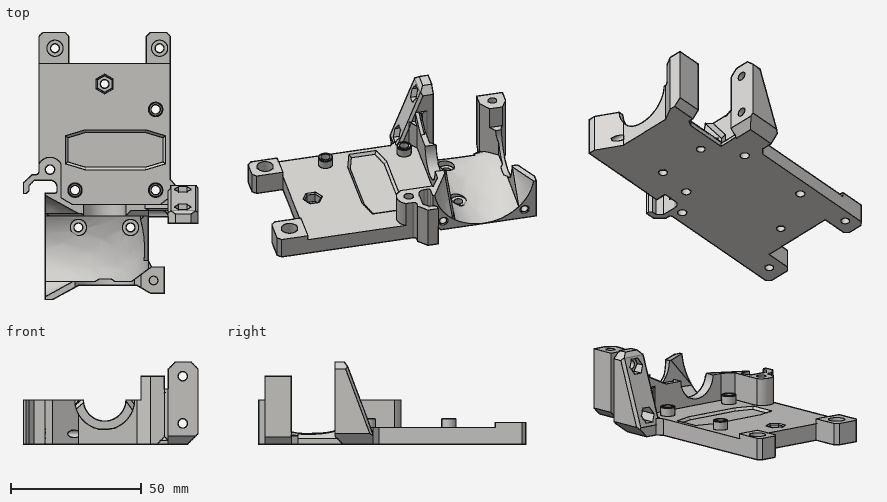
import cadquery as cq
import math

PLATE_TOP = 6.5
TAB_TOP = 8.4
BODY_TOP = 17.0
POST_TOP = 26.0
BRACKET_TOP = 31.5

OVERCUT = 1.0
PICK_REACH = 0.1

PLATE_WIDTH = 50.25
PLATE_LENGTH = 54.0
TAB_END = 65.8
LEFT_TAB_RIGHT = 11.5
RIGHT_TAB_LEFT = 41.0
TAB_CHAMFER = 1.5
TAB_HOLE_Y = 59.75
TAB_HOLES_X = (6.15, 46.1)

SCREW_DIAMETER = 3.3
CLEARANCE_DIAMETER = 3.5
HEAD_DIAMETER = 6.2
TAB_SEAT_Z = 3.0
NUT_HOLE_DIAMETER = 3.2
NUT_FLATS = 5.5

NUT_SEAT_X = PLATE_WIDTH / 2
NUT_SEAT_Y = 46.1
NUT_SEAT_DEPTH = 4.0
NUT_LEAD_IN = 0.5

STANDOFF_DIAMETER = 5.5
STANDOFF_TOP = 9.9
STANDOFF_CHAMFER = 0.3
STANDOFF_PLACES = ((13.8, 5.55), (44.6, 5.55), (44.6, 36.4))

RELIEF_CENTER = (29.25, 20.95)
RELIEF_LENGTH = 38.3
RELIEF_WIDTH = 15.3
RELIEF_FLAT_LENGTH = 23.1
RELIEF_END_WIDTH = 10.7
RELIEF_DEPTH = 1.0
RELIEF_TAPER = 45

PEDESTAL_CENTER = (4.25, 13.4)
PEDESTAL_RADIUS = 4.7
PEDESTAL_RIGHT = 8.4
PEDESTAL_TOE_X = 12.9
PEDESTAL_TOE_Y = 2.7
HOOK_LEFT = -5.95
HOOK_TOP = 11.5
HOOK_ROOT_FILLET = 1.2
HOOK_TIP_Y = 4.2
HOOK_INNER_LEFT = -3.7
HOOK_SHOULDER_X = -2.6
HOOK_SHOULDER_Y = 8.3
HOOK_TIP_X = -4.9
HOOK_TIP_BEVEL_Y = 5.3
HOOK_INNER_SHOULDER_Y = 7.3
HOOK_INNER_SHOULDER_X = -1.8
HOOK_GAP_RIGHT = 6.9
HOOK_GAP_TOP = 9.3
HOOK_GAP_LARGE_FILLET = 2.6
HOOK_GAP_SMALL_FILLET = 0.9

DUCT_LEFT = 2.4
DUCT_RIGHT = 41.8
DUCT_BACK = 4.4
DUCT_FRONT = -36.3
FRONT_WALL_OUTER = -30.8
FRONT_WALL_INNER = -29.4
REAR_WALL_INNER = -4.4
FLOOR_EDGE_Z = 2.3
FLOOR_END_Y = -21.3
REAR_CORNER_BEVEL = (3.2, 4.0)
POST_RIGHT = 47.9
POST_LEFT = 39.0
POST_FRONT = -33.9
POST_BACK = -23.75
POST_BEVEL = 2.8
POST_HOLE = (43.8, -28.95)
POST_HOLE_DEPTH = 10.0
INLET_TOE_X = 5.2
FRONT_WALL_LEFT = 15.2
FRONT_WALL_RIGHT = 37.4
POST_SHOULDER_X = 42.7
POST_INNER_X = 43.0
CHAMBER_CORNER_X = 35.3
FLOOR_BEVEL_SIZE = 3.0

INLET_CENTER_Y = -15.8
INLET_RADIUS = 19.6
INLET_FLOOR_Z = 0.2
MIDDLE_X = 20.0
MIDDLE_CENTER_Y = -16.3
MIDDLE_RADIUS = 27.0
MIDDLE_FLOOR_Z = 2.8
OUTLET_CENTER_Y = -17.0
OUTLET_RADIUS = 60.0
OUTLET_FLOOR_Z = 3.2
REAR_FLARE_END = 17.0
FRONT_FLARE_END = 12.9
FLARE_TIP_SCALE = 0.02
FLARE_LOW = (4.4, 4.6)
FLARE_BEVEL_SHIFT = 1.2
FLARE_BEVEL = 2.0
FLARE_BEVEL_DEPTH = 1.0

BORE_X = PLATE_WIDTH / 2
REAR_BORE_RADIUS = 8.1
FRONT_BORE_RADIUS = 11.4

FLOOR_SCREW_Y = -8.7
FLOOR_SCREWS_X = (15.1, 35.0)
FLOOR_SEAT_Z = 2.5
INLET_SCREW_Z = 4.0
INLET_SCREWS_Y = (0.25, -31.7)
INLET_SCREW_DEPTH = 12.8
INLET_SCREW_DIAMETER = 2.8
INLET_SCREW_CHAMFER = 0.4

ARM_START = 33.0
ARM_RISE_START = 40.5
RECESS_LOW = (41.8, 4.2)
RECESS_BEVEL = 2.2
ARM_EDGE_CHAMFER = 0.8
ARM_FACE = -2.2
ARM_TOP = 21.2
RAIL_FRONT = -4.7
RAIL_TOP = 1.5
BRACKET_LEFT = 49.4
BRACKET_RIGHT = 60.85
BRACKET_FRONT = -7.15
BRACKET_BACK = 7.4
BRACKET_TOP_CHAMFER = 2.8
BRACKET_SIDE_BEVEL = 4.1
BRACKET_TOE_BEVEL = 3.1
BRACKET_EDGE_CHAMFER = 1.1
BRACKET_HOLES_Z = (8.0, 26.0)
BRACKET_HOLE_X = 54.95
BRACKET_NUT_SEAT_Y = -4.0
SLANT_FOOT = (BRACKET_BACK, 4.0)
SLANT_HEAD = (-2.2, 29.6)
BRACKET_CREST_Y = -3.6

SIDE_GUSSET_Y = 9.6
SIDE_GUSSET_X = 52.2
INNER_GUSSET_X = 46.3
INNER_GUSSET_Y = 2.4


def prism(points, bottom, top):
    """Upright prism over a plan outline."""
    return cq.Workplane("XY").workplane(offset=bottom).polyline(points).close().extrude(top - bottom)


def box(x0, x1, y0, y1, z0, z1):
    return cq.Workplane("XY").box(x1 - x0, y1 - y0, z1 - z0, centered=False).translate((x0, y0, z0))


def rod(x, y, diameter, bottom, top):
    """Vertical cylinder."""
    return cq.Workplane("XY").workplane(offset=bottom).center(x, y).circle(diameter / 2).extrude(top - bottom)


def rod_along_y(x, z, radius, y0, y1):
    return cq.Workplane("XZ").workplane(offset=-y1).center(x, z).circle(radius).extrude(y1 - y0)


def base_plate():
    plate = box(0, PLATE_WIDTH, 0, PLATE_LENGTH, 0, PLATE_TOP)
    for left, right in ((0, LEFT_TAB_RIGHT), (RIGHT_TAB_LEFT, PLATE_WIDTH)):
        tab = box(left, right, PLATE_LENGTH, TAB_END, 0, TAB_TOP)
        plate = plate.union(tab.edges("|Z and >Y").chamfer(TAB_CHAMFER))
    for x in TAB_HOLES_X:
        plate = plate.cut(rod(x, TAB_HOLE_Y, SCREW_DIAMETER, 0, TAB_TOP))
        plate = plate.cut(rod(x, TAB_HOLE_Y, HEAD_DIAMETER, TAB_SEAT_Z, TAB_TOP))
    return plate


def nut_seat():
    corner_diameter = NUT_FLATS / math.cos(math.pi / 6)
    mouth_diameter = (NUT_FLATS + 2 * NUT_LEAD_IN) / math.cos(math.pi / 6)

    def hexagon(z, diameter):
        plane = cq.Workplane("XY").workplane(offset=z).center(NUT_SEAT_X, NUT_SEAT_Y)
        return plane.transformed(rotate=(0, 0, 30)).polygon(6, diameter)

    seat = hexagon(PLATE_TOP - NUT_SEAT_DEPTH, corner_diameter).extrude(NUT_SEAT_DEPTH)
    lead_in = (
        hexagon(PLATE_TOP - NUT_LEAD_IN, corner_diameter)
        .workplane(offset=NUT_LEAD_IN)
        .polygon(6, mouth_diameter)
        .loft()
    )
    hole = rod(NUT_SEAT_X, NUT_SEAT_Y, NUT_HOLE_DIAMETER, 0, PLATE_TOP)
    return seat.union(lead_in).union(hole)


def relief():
    half_length = RELIEF_LENGTH / 2
    half_width = RELIEF_WIDTH / 2
    half_flat = RELIEF_FLAT_LENGTH / 2
    half_end = RELIEF_END_WIDTH / 2
    outline = [
        (half_length, -half_end), (half_length, half_end),
        (half_flat, half_width), (-half_flat, half_width),
        (-half_length, half_end), (-half_length, -half_end),
        (-half_flat, -half_width), (half_flat, -half_width),
    ]
    plane = cq.Workplane("XY").workplane(offset=PLATE_TOP).center(*RELIEF_CENTER)
    return plane.polyline(outline).close().extrude(-RELIEF_DEPTH, taper=RELIEF_TAPER)


def standoff(x, y):
    tube = rod(x, y, STANDOFF_DIAMETER, PLATE_TOP, STANDOFF_TOP)
    return tube.faces(">Z").edges().chamfer(STANDOFF_CHAMFER)


def hook_gap_edge(y):
    """Selector for the upright inner edge of the hook gap at the given Y."""
    return cq.selectors.BoxSelector(
        (HOOK_GAP_RIGHT - PICK_REACH, y - PICK_REACH, 0),
        (HOOK_GAP_RIGHT + PICK_REACH, y + PICK_REACH, BODY_TOP),
    )


def pedestal_and_hook():
    """Screw pedestal over the plate edge with the cable hook on its left."""
    center_x, center_y = PEDESTAL_CENTER
    shoulder_y = center_y + math.sqrt(PEDESTAL_RADIUS**2 - (PEDESTAL_RIGHT - center_x) ** 2)
    left_y = center_y + math.sqrt(PEDESTAL_RADIUS**2 - center_x**2)
    return (
        cq.Workplane("XY")
        .moveTo(PEDESTAL_RIGHT, shoulder_y)
        .threePointArc((center_x, center_y + PEDESTAL_RADIUS), (0, left_y))
        .lineTo(0, HOOK_TOP + HOOK_ROOT_FILLET)
        .radiusArc((-HOOK_ROOT_FILLET, HOOK_TOP), HOOK_ROOT_FILLET)
        .lineTo(HOOK_SHOULDER_X, HOOK_TOP)
        .lineTo(HOOK_LEFT, HOOK_SHOULDER_Y)
        .lineTo(HOOK_LEFT, HOOK_TIP_Y)
        .lineTo(HOOK_TIP_X, HOOK_TIP_Y)
        .lineTo(HOOK_INNER_LEFT, HOOK_TIP_BEVEL_Y)
        .lineTo(HOOK_INNER_LEFT, HOOK_INNER_SHOULDER_Y)
        .lineTo(HOOK_INNER_SHOULDER_X, HOOK_GAP_TOP)
        .lineTo(HOOK_GAP_RIGHT, HOOK_GAP_TOP)
        .lineTo(HOOK_GAP_RIGHT, DUCT_BACK)
        .lineTo(DUCT_LEFT, DUCT_BACK)
        .lineTo(DUCT_LEFT, 0)
        .lineTo(PEDESTAL_TOE_X, 0)
        .lineTo(PEDESTAL_RIGHT, PEDESTAL_TOE_Y)
        .close()
        .extrude(BODY_TOP)
        .edges(hook_gap_edge(HOOK_GAP_TOP))
        .fillet(HOOK_GAP_LARGE_FILLET)
        .edges(hook_gap_edge(DUCT_BACK))
        .fillet(HOOK_GAP_SMALL_FILLET)
    )


def notch_behind_hook():
    """Clearance in the plate inside the hook, and the bevel below the duct corner."""
    gap = box(-OVERCUT, HOOK_GAP_RIGHT, DUCT_BACK, HOOK_GAP_TOP, 0, PLATE_TOP)
    gap = gap.edges("|Z and >X and >Y").fillet(HOOK_GAP_LARGE_FILLET)
    gap = gap.edges("|Z and >X and <Y").fillet(HOOK_GAP_SMALL_FILLET)
    run, rise = REAR_CORNER_BEVEL
    bevel = (
        cq.Workplane("YZ")
        .workplane(offset=DUCT_LEFT)
        .polyline([(DUCT_BACK, 0), (DUCT_BACK - run, 0), (DUCT_BACK, rise)])
        .close()
        .extrude(HOOK_GAP_RIGHT - DUCT_LEFT)
    )
    edge = box(-OVERCUT, DUCT_LEFT, -OVERCUT, DUCT_BACK, 0, PLATE_TOP)
    return gap.union(bevel).union(edge)


def duct_block():
    outline = [
        (DUCT_LEFT, 0), (DUCT_LEFT, DUCT_FRONT), (INLET_TOE_X, DUCT_FRONT),
        (FRONT_WALL_LEFT, FRONT_WALL_OUTER), (FRONT_WALL_RIGHT, FRONT_WALL_OUTER),
        (POST_SHOULDER_X, POST_FRONT), (POST_RIGHT, POST_FRONT), (POST_RIGHT, POST_BACK),
        (POST_INNER_X, POST_BACK), (DUCT_RIGHT, FLOOR_END_Y), (DUCT_RIGHT, 0),
    ]
    block = prism(outline, 0, BODY_TOP)
    post_space = box(POST_LEFT, POST_RIGHT, POST_FRONT, POST_BACK, 0, POST_TOP)
    return block.union(prism(outline, 0, POST_TOP).intersect(post_space))


def bowl():
    """Hollow lofted through three circles of growing radius, from the inlet to the far end."""
    sections = (
        (DUCT_LEFT, INLET_CENTER_Y, INLET_RADIUS, INLET_FLOOR_Z),
        (MIDDLE_X, MIDDLE_CENTER_Y, MIDDLE_RADIUS, MIDDLE_FLOOR_Z),
        (DUCT_RIGHT, OUTLET_CENTER_Y, OUTLET_RADIUS, OUTLET_FLOOR_Z),
    )
    wires = []
    for x, y, radius, floor in sections:
        wires.append(cq.Wire.makeCircle(radius, cq.Vector(x, y, floor + radius), cq.Vector(1, 0, 0)))
    return cq.Workplane(obj=cq.Solid.makeLoft(wires))


def flare(wall_y, side, tip_x):
    """Recess narrowing from the inlet rim beyond a chamber wall to a tip at the wall top.

    side is +1 for the rear wall and -1 for the front wall.
    """
    center_z = INLET_FLOOR_Z + INLET_RADIUS
    rim_y = INLET_CENTER_Y + side * math.sqrt(INLET_RADIUS**2 - (center_z - BODY_TOP) ** 2)
    low_z = center_z - math.sqrt(INLET_RADIUS**2 - (wall_y - INLET_CENTER_Y) ** 2)
    middle_angle = (
        math.atan2(BODY_TOP - center_z, abs(rim_y - INLET_CENTER_Y))
        + math.atan2(low_z - center_z, abs(wall_y - INLET_CENTER_Y))
    ) / 2
    middle = (
        INLET_CENTER_Y + side * INLET_RADIUS * math.cos(middle_angle),
        center_z + INLET_RADIUS * math.sin(middle_angle),
    )

    def section(x, scale):
        def toward_tip(y, z):
            return cq.Vector(x, wall_y + scale * (y - wall_y), BODY_TOP + scale * (z - BODY_TOP))

        corner = toward_tip(wall_y, BODY_TOP)
        rim = toward_tip(rim_y, BODY_TOP)
        low = toward_tip(wall_y, low_z)
        return cq.Wire.assembleEdges([
            cq.Edge.makeLine(corner, rim),
            cq.Edge.makeThreePointArc(rim, toward_tip(*middle), low),
            cq.Edge.makeLine(low, corner),
        ])

    near_tip = tip_x - FLARE_TIP_SCALE * (tip_x - DUCT_LEFT)
    wires = [section(DUCT_LEFT, 1), section(near_tip, FLARE_TIP_SCALE)]
    return cq.Workplane(obj=cq.Solid.makeLoft(wires, True))


def floor_edge_bevel():
    """Wedge that slopes the right-hand edge of the duct floor outward."""
    drop = FLOOR_BEVEL_SIZE
    outline = [
        (DUCT_RIGHT, FLOOR_EDGE_Z), (DUCT_RIGHT, FLOOR_EDGE_Z + drop),
        (DUCT_RIGHT - drop, FLOOR_EDGE_Z + drop),
    ]
    length = REAR_WALL_INNER - FLOOR_END_Y
    return cq.Workplane("XZ").workplane(offset=-REAR_WALL_INNER).polyline(outline).close().extrude(length)


def post_toe_bevel():
    """Wedge removed below the outer side of the post."""
    outline = [(POST_RIGHT - POST_BEVEL, 0), (POST_RIGHT, 0), (POST_RIGHT, POST_BEVEL)]
    length = POST_BACK - POST_FRONT
    return cq.Workplane("XZ").workplane(offset=-POST_BACK).polyline(outline).close().extrude(length)


def duct_hollow():
    beyond_outlet = box(DUCT_RIGHT, POST_RIGHT, POST_FRONT, 0, OUTLET_FLOOR_Z, POST_TOP)
    limits = [
        (DUCT_LEFT, REAR_WALL_INNER), (DUCT_LEFT, FRONT_WALL_INNER),
        (CHAMBER_CORNER_X, FRONT_WALL_INNER), (POST_INNER_X, POST_BACK),
        (POST_RIGHT, POST_BACK), (POST_RIGHT, REAR_WALL_INNER),
    ]
    hollow = bowl().union(beyond_outlet).intersect(prism(limits, 0, POST_TOP))
    hollow = hollow.union(floor_edge_bevel())
    hollow = hollow.union(flare(REAR_WALL_INNER, 1, REAR_FLARE_END))
    return hollow.union(flare(FRONT_WALL_INNER, -1, FRONT_FLARE_END))


def sloped_recess(top_x, low_point, bevel, depth):
    """Triangular step into the rear chamber wall with a bevelled slanting side.

    The slant runs from the wall top at top_x down to low_point; over the depth it shifts by bevel along X.
    """
    low_x, low_z = low_point

    def triangle(plane, shift):
        corners = [(top_x + shift, BODY_TOP), (low_x + shift, low_z), (low_x + shift, BODY_TOP)]
        return plane.polyline(corners).close()

    wall = triangle(cq.Workplane("XZ").workplane(offset=-REAR_WALL_INNER), 0)
    return triangle(wall.workplane(offset=-depth), bevel).loft()


def bracket_corner(radius):
    """Concave upright fillet between the arm face and the side of the bracket."""
    sag = radius * (1 - math.sqrt(0.5))
    return (
        cq.Workplane("XY")
        .moveTo(BRACKET_LEFT, ARM_FACE)
        .lineTo(BRACKET_LEFT - radius, ARM_FACE)
        .threePointArc((BRACKET_LEFT - sag, ARM_FACE - sag), (BRACKET_LEFT, ARM_FACE - radius))
        .close()
        .extrude(ARM_TOP)
    )


def arm():
    """Web that rises towards the bracket, with a filleted rail along its foot."""
    web = (
        cq.Workplane("XZ")
        .polyline([
            (ARM_RISE_START, 0), (BRACKET_LEFT, 0), (BRACKET_LEFT, ARM_TOP),
            (ARM_RISE_START, BODY_TOP),
        ])
        .close()
        .extrude(-ARM_FACE)
    )
    top_edge = cq.selectors.BoxSelector(
        (ARM_RISE_START, ARM_FACE - PICK_REACH, BODY_TOP), (BRACKET_LEFT, ARM_FACE + PICK_REACH, ARM_TOP)
    )
    web = web.edges(top_edge).chamfer(ARM_EDGE_CHAMFER)
    foot = ARM_FACE - RAIL_FRONT
    sag = foot * (1 - math.sqrt(0.5))
    rail = (
        cq.Workplane("YZ")
        .workplane(offset=ARM_RISE_START)
        .moveTo(ARM_FACE, 0)
        .lineTo(RAIL_FRONT, 0)
        .lineTo(RAIL_FRONT, RAIL_TOP)
        .threePointArc((ARM_FACE - sag, RAIL_TOP + sag), (ARM_FACE, RAIL_TOP + foot))
        .close()
        .extrude(BRACKET_LEFT - ARM_RISE_START)
    )
    return web.union(rail).union(bracket_corner(foot))


def bracket():
    profile = [
        (BRACKET_FRONT, BRACKET_TOE_BEVEL), (BRACKET_FRONT + BRACKET_TOE_BEVEL, 0),
        (BRACKET_BACK, 0), SLANT_FOOT, SLANT_HEAD,
        (BRACKET_CREST_Y, BRACKET_TOP), (BRACKET_FRONT, BRACKET_TOP),
    ]
    body = (
        cq.Workplane("YZ")
        .workplane(offset=BRACKET_LEFT)
        .polyline(profile)
        .close()
        .extrude(BRACKET_RIGHT - BRACKET_LEFT)
    )
    middle_y = (SLANT_FOOT[0] + SLANT_HEAD[0]) / 2
    middle_z = (SLANT_FOOT[1] + SLANT_HEAD[1]) / 2
    slant = cq.selectors.BoxSelector(
        (BRACKET_LEFT - OVERCUT, middle_y - OVERCUT, middle_z - OVERCUT),
        (BRACKET_RIGHT + OVERCUT, middle_y + OVERCUT, middle_z + OVERCUT),
    )
    body = body.edges(slant).chamfer(BRACKET_EDGE_CHAMFER)
    chamfer = BRACKET_TOP_CHAMFER
    bevel = BRACKET_SIDE_BEVEL
    face = [
        (BRACKET_LEFT, 0), (BRACKET_RIGHT - bevel, 0), (BRACKET_RIGHT, bevel),
        (BRACKET_RIGHT, BRACKET_TOP - chamfer), (BRACKET_RIGHT - chamfer, BRACKET_TOP),
        (BRACKET_LEFT + chamfer, BRACKET_TOP), (BRACKET_LEFT, BRACKET_TOP - chamfer),
    ]
    depth = BRACKET_BACK - BRACKET_FRONT
    trim = cq.Workplane("XZ").workplane(offset=-BRACKET_BACK).polyline(face).close().extrude(depth)
    body = body.intersect(trim)
    for z in BRACKET_HOLES_Z:
        hole = rod_along_y(BRACKET_HOLE_X, z, CLEARANCE_DIAMETER / 2, BRACKET_FRONT, BRACKET_BACK)
        nut = (
            cq.Workplane("XZ")
            .workplane(offset=-BRACKET_BACK)
            .center(BRACKET_HOLE_X, z)
            .polygon(6, NUT_FLATS / math.cos(math.pi / 6))
            .extrude(BRACKET_BACK - BRACKET_NUT_SEAT_Y)
        )
        body = body.cut(hole).cut(nut)
    return body


def gussets():
    side_outline = [
        (PLATE_WIDTH, SIDE_GUSSET_Y), (SIDE_GUSSET_X, BRACKET_BACK), (PLATE_WIDTH, BRACKET_BACK),
    ]
    inner_outline = [(INNER_GUSSET_X, 0), (BRACKET_LEFT, INNER_GUSSET_Y), (BRACKET_LEFT, 0)]
    return prism(side_outline, 0, PLATE_TOP).union(prism(inner_outline, 0, BODY_TOP))


def inlet_screw(y):
    plane = cq.Workplane("YZ").workplane(offset=DUCT_LEFT).center(y, INLET_SCREW_Z)
    hole = plane.circle(INLET_SCREW_DIAMETER / 2).extrude(INLET_SCREW_DEPTH)
    lead_in = (
        plane.circle(INLET_SCREW_DIAMETER / 2 + INLET_SCREW_CHAMFER)
        .workplane(offset=INLET_SCREW_CHAMFER)
        .circle(INLET_SCREW_DIAMETER / 2)
        .loft()
    )
    return hole.union(lead_in)


def duct():
    body = duct_block().union(pedestal_and_hook())
    body = body.cut(duct_hollow())
    flare_bevel_top = REAR_FLARE_END + FLARE_BEVEL_SHIFT
    body = body.cut(sloped_recess(flare_bevel_top, FLARE_LOW, -FLARE_BEVEL, FLARE_BEVEL_DEPTH))
    body = body.cut(sloped_recess(ARM_START, RECESS_LOW, RECESS_BEVEL, ARM_FACE - REAR_WALL_INNER))
    body = body.cut(post_toe_bevel())
    body = body.cut(rod_along_y(BORE_X, BODY_TOP, REAR_BORE_RADIUS, REAR_WALL_INNER - OVERCUT, 0))
    body = body.cut(rod_along_y(BORE_X, BODY_TOP, FRONT_BORE_RADIUS, DUCT_FRONT, FRONT_WALL_INNER + OVERCUT))
    return body


def standoffs():
    posts = standoff(*STANDOFF_PLACES[0])
    for place in STANDOFF_PLACES[1:]:
        posts = posts.union(standoff(*place))
    return posts


def drill_screw_holes(part):
    for place in STANDOFF_PLACES:
        part = part.cut(rod(*place, CLEARANCE_DIAMETER, 0, STANDOFF_TOP))
    part = part.cut(rod(*PEDESTAL_CENTER, CLEARANCE_DIAMETER, 0, BODY_TOP))
    part = part.cut(rod(*POST_HOLE, SCREW_DIAMETER, POST_TOP - POST_HOLE_DEPTH, POST_TOP))
    for x in FLOOR_SCREWS_X:
        part = part.cut(rod(x, FLOOR_SCREW_Y, SCREW_DIAMETER, 0, PLATE_TOP))
        part = part.cut(rod(x, FLOOR_SCREW_Y, HEAD_DIAMETER, FLOOR_SEAT_Z, PLATE_TOP))
    for y in INLET_SCREWS_Y:
        part = part.cut(inlet_screw(y))
    return part


result = base_plate().cut(relief()).union(duct()).cut(notch_behind_hook())
result = result.union(arm()).union(bracket()).union(gussets()).union(standoffs())
result = drill_screw_holes(result.cut(nut_seat())).clean()